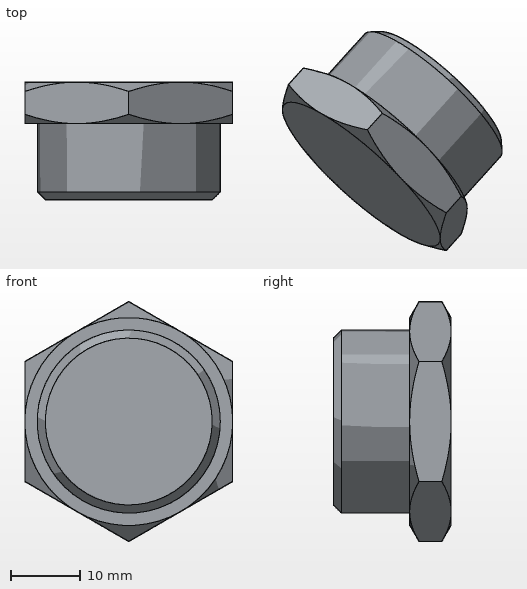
import cadquery as cq
import math

across_corners = 34.65
corner_radius = across_corners / 2
flat_radius = corner_radius * math.cos(math.radians(30))
head_thickness = 6.0
corner_chamfer_angle = 30.0

total_length = 17.0
plug_diameter = 26.43
plug_chamfer = 1.18


def hex_head():
    """Hexagon with corners on +Z and -Z, its corners chamfered on both faces."""
    prism = (
        cq.Workplane("XZ")
        .polygon(6, across_corners)
        .extrude(head_thickness)
        .rotate((0, 0, 0), (0, 1, 0), 30)
    )
    cone_height = head_thickness / 2
    apex_radius = flat_radius + cone_height / math.tan(math.radians(corner_chamfer_angle))
    envelope = (
        cq.Workplane("XY")
        .moveTo(0, 0)
        .lineTo(flat_radius, 0)
        .lineTo(apex_radius, -cone_height)
        .lineTo(flat_radius, -head_thickness)
        .lineTo(0, -head_thickness)
        .close()
        .revolve(360, (0, 0, 0), (0, 1, 0))
    )
    return prism.intersect(envelope)


def plug():
    """Solid cylinder toward -Y with a chamfered free end."""
    return (
        cq.Workplane("XZ", origin=(0, -head_thickness, 0))
        .circle(plug_diameter / 2)
        .extrude(total_length - head_thickness)
        .faces("<Y")
        .chamfer(plug_chamfer)
    )


result = hex_head().union(plug())